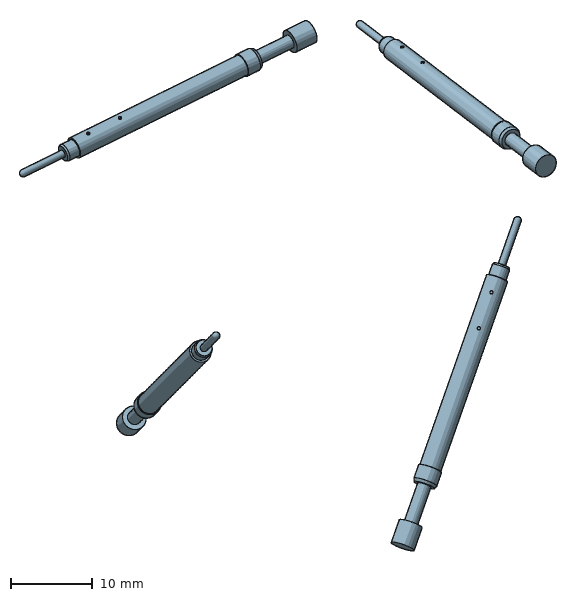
import cadquery as cq

LENGTH = 43.3

HEAD_DIA = 3.0
PLUNGER_DIA = 1.75
COLLAR_DIA = HEAD_DIA
BARREL_DIA = 2.73
TAIL_DIA = 2.25
PIN_DIA = 0.95

HEAD_LENGTH = 3.0
PLUNGER_LENGTH = 5.05
COLLAR_LENGTH = 2.15
BARREL_LENGTH = 25.0
TAIL_LENGTH = 1.7

COLLAR_TAPER_LENGTH = 0.4
COLLAR_TAPER_DEPTH = 0.17
TAIL_CHAMFER_LENGTH = 0.25
TAIL_CHAMFER_DEPTH = 0.15
TIP_DOME_HEIGHT = 0.45

DIMPLE_DIA = 0.4
DIMPLE_DEPTH = 0.15
DIMPLE_SPACING = 4.7
FIRST_DIMPLE_FROM_BARREL_END = 2.1

HEAD_START = LENGTH - HEAD_LENGTH
COLLAR_END = HEAD_START - PLUNGER_LENGTH
BARREL_END = COLLAR_END - COLLAR_LENGTH
BARREL_START = BARREL_END - BARREL_LENGTH
TAIL_START = BARREL_START - TAIL_LENGTH


def probe_body():
    """Half outline in the XY plane, turned about the Y axis."""
    pin_radius = PIN_DIA / 2
    tail_radius = TAIL_DIA / 2
    barrel_radius = BARREL_DIA / 2
    collar_radius = COLLAR_DIA / 2
    plunger_radius = PLUNGER_DIA / 2
    head_radius = HEAD_DIA / 2

    dome_radius = (pin_radius**2 + TIP_DOME_HEIGHT**2) / (2 * TIP_DOME_HEIGHT)
    dome_mid_x = pin_radius / 2
    dome_mid_y = dome_radius - (dome_radius**2 - dome_mid_x**2) ** 0.5

    outline = (
        cq.Workplane("XY")
        .moveTo(0, 0)
        .threePointArc((dome_mid_x, dome_mid_y), (pin_radius, TIP_DOME_HEIGHT))
        .lineTo(pin_radius, TAIL_START)
        .lineTo(tail_radius - TAIL_CHAMFER_DEPTH, TAIL_START)
        .lineTo(tail_radius, TAIL_START + TAIL_CHAMFER_LENGTH)
        .lineTo(tail_radius, BARREL_START)
        .lineTo(barrel_radius, BARREL_START)
        .lineTo(barrel_radius, BARREL_END)
        .lineTo(collar_radius, BARREL_END)
        .lineTo(collar_radius, COLLAR_END - COLLAR_TAPER_LENGTH)
        .lineTo(collar_radius - COLLAR_TAPER_DEPTH, COLLAR_END)
        .lineTo(plunger_radius, COLLAR_END)
        .lineTo(plunger_radius, HEAD_START)
        .lineTo(head_radius, HEAD_START)
        .lineTo(head_radius, LENGTH)
        .lineTo(0, LENGTH)
        .close()
    )
    return outline.revolve(360, (0, 0, 0), (0, 1, 0))


def crimp_dimples():
    """Round pockets sunk into the top of the barrel near its tail end."""
    first_y = BARREL_START + FIRST_DIMPLE_FROM_BARREL_END
    return (
        cq.Workplane("XY", origin=(0, 0, BARREL_DIA / 2 - DIMPLE_DEPTH))
        .pushPoints([(0, first_y), (0, first_y + DIMPLE_SPACING)])
        .circle(DIMPLE_DIA / 2)
        .extrude(2 * DIMPLE_DEPTH)
    )


result = probe_body().cut(crimp_dimples())